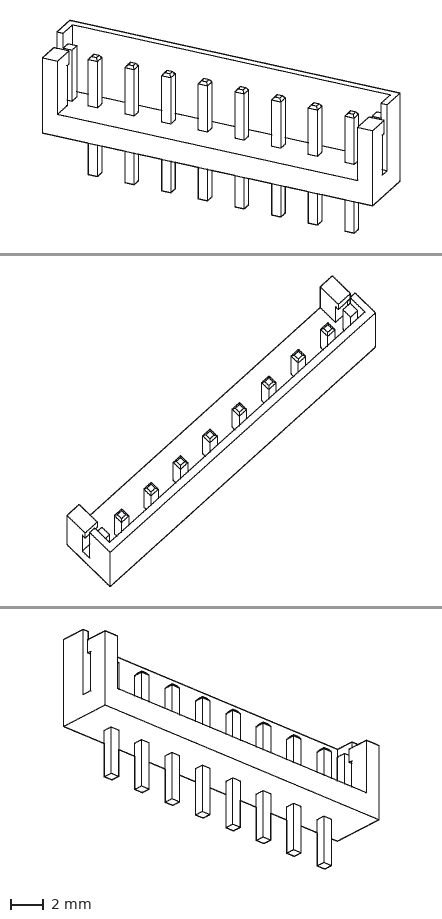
import cadquery as cq

length = 22.5
depth = 3.8
height = 6.0

floor_thickness = 1.5
back_wall = 0.5
end_wall = 0.43
end_wall_depth = 1.8

post_width = 1.04
post_height = 5.13
post_depth = 1.35
hook_depth = 1.6
hook_thickness = 0.9

rib_depth = 0.68
rib_top = 5.0

pin_count = 8
pin_pitch = 2.5
pin_side = 0.63
pin_from_back = 1.6
pin_tail = 3.2
pin_top = 4.84
tip_height = 0.18
tip_side = 0.35

left = -length / 2
front = -depth / 2
back = depth / 2
end_wall_front = back - end_wall_depth


def box_between(x0, x1, y0, y1, z0, z1):
    """Box given by its limits along X, Y and Z."""
    return cq.Workplane("XY").box(x1 - x0, y1 - y0, z1 - z0, centered=False).translate((x0, y0, z0))


def make_end():
    """End wall, inner rib and hooked front post of the left end."""
    wall = box_between(left, left + end_wall, end_wall_front, back, 0, height)
    rib = box_between(
        left, left + post_width, end_wall_front, end_wall_front + rib_depth, 0, rib_top
    )
    hook_bottom = post_height - hook_thickness
    post = (
        cq.Workplane("YZ", origin=(left, 0, 0))
        .moveTo(front, 0)
        .lineTo(front, post_height)
        .lineTo(front + hook_depth, post_height)
        .lineTo(front + hook_depth, hook_bottom)
        .lineTo(front + post_depth, hook_bottom)
        .lineTo(front + post_depth, 0)
        .close()
        .extrude(post_width)
    )
    return wall.union(rib).union(post)


def make_housing():
    """Floor and back wall joined to two mirrored ends."""
    floor = box_between(left, -left, front, back, 0, floor_thickness)
    rear = box_between(left, -left, back - back_wall, back, 0, height)
    end = make_end()
    return floor.union(rear).union(end).union(end.mirror("YZ"))


def make_pin(x):
    """Square pin through the floor with a tapered upper tip."""
    y = back - pin_from_back
    shaft_length = pin_tail + pin_top - tip_height
    shaft = (
        cq.Workplane("XY", origin=(x, y, -pin_tail))
        .rect(pin_side, pin_side)
        .extrude(shaft_length)
    )
    tip = (
        cq.Workplane("XY", origin=(x, y, pin_top - tip_height))
        .rect(pin_side, pin_side)
        .workplane(offset=tip_height)
        .rect(tip_side, tip_side)
        .loft(ruled=True)
    )
    return shaft.union(tip)


result = make_housing()
for index in range(pin_count):
    pin_x = (index - (pin_count - 1) / 2) * pin_pitch
    result = result.union(make_pin(pin_x))